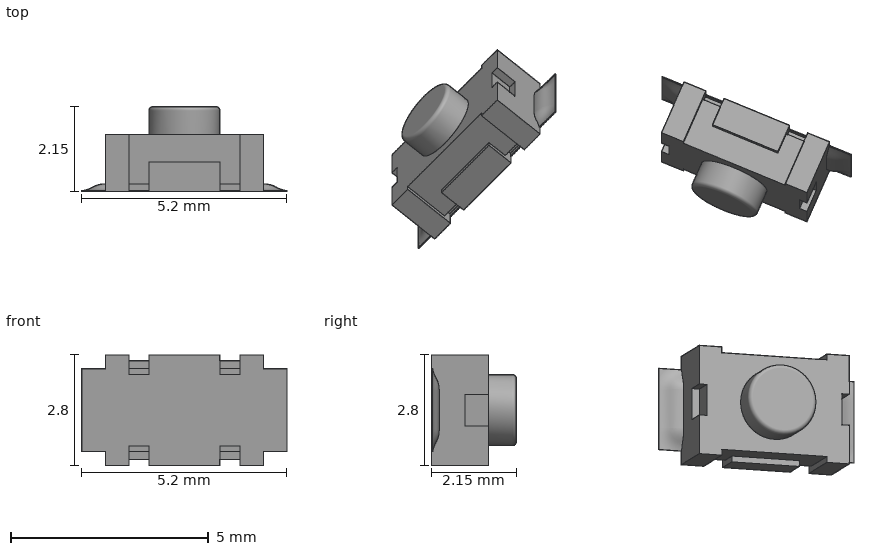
import cadquery as cq

body_length = 4.0
body_width = 2.8
body_height = 1.45

side_recess = 0.15
leg_length = 0.6
tab_length = 1.8
tab_height = 0.75

undercut_height = 0.2
undercut_depth = 0.5

end_pocket_width = 0.8
end_pocket_height = 0.6
end_pocket_depth = 0.2

button_diameter = 1.8
overall_height = 2.15
button_fillet = 0.1

plate_length = 5.2
plate_width = 2.1
plate_thickness = 0.025

swell_height = 0.2
swell_ridge_length = 1.0
swell_radius = 0.65


def block(length, width, height, x=0.0, y=0.0, z=0.0):
    """Box centred on x and z that rises in Y from y."""
    return cq.Workplane("XY").box(length, height, width).translate((x, y + height / 2, z))


def make_housing():
    housing = block(body_length, body_width, body_height)

    gap_length = body_length / 2 - leg_length - tab_length / 2
    gap_x = (tab_length + gap_length) / 2
    between_legs = body_length - 2 * leg_length
    for side in (-1, 1):
        recess_z = side * (body_width - side_recess) / 2
        housing = housing.cut(
            block(between_legs, side_recess, body_height - tab_height, y=tab_height, z=recess_z)
        )
        undercut_z = side * (body_width - undercut_depth) / 2
        for end in (-1, 1):
            housing = housing.cut(
                block(gap_length, side_recess, body_height, x=end * gap_x, z=recess_z)
            )
            housing = housing.cut(
                block(gap_length, undercut_depth, undercut_height, x=end * gap_x, z=undercut_z)
            )

    for end in (-1, 1):
        housing = housing.cut(
            block(
                end_pocket_depth,
                end_pocket_width,
                end_pocket_height,
                x=end * (body_length - end_pocket_depth) / 2,
                y=body_height - end_pocket_height,
            )
        )
    return housing


def make_button():
    return (
        cq.Workplane("XZ", origin=(0, body_height, 0))
        .circle(button_diameter / 2)
        .extrude(body_height - overall_height)
        .faces(">Y")
        .edges()
        .fillet(button_fillet)
    )


def swell_half_section(direction):
    """Half section of the swelling: two equal tangent arcs from the crest down to the plate."""
    half_run = swell_radius / 2
    half_drop = (swell_height - plate_thickness) / 2
    arc_radius = (half_run**2 + half_drop**2) / (2 * half_drop)
    middle = (direction * half_run, plate_thickness + half_drop)
    foot = (direction * swell_radius, plate_thickness)
    return (
        cq.Workplane("XY")
        .moveTo(0, swell_height)
        .radiusArc(middle, direction * arc_radius)
        .radiusArc(foot, -direction * arc_radius)
        .lineTo(foot[0], 0)
        .lineTo(0, 0)
        .close()
    )


def make_swelling(end):
    """Swelling at one end, trimmed to lie on the plate between the leg and the plate end."""
    swelling = swell_half_section(end).extrude(swell_ridge_length / 2, both=True)
    rounded_end = swell_half_section(end).revolve(360, (0, 0, 0), (0, 1, 0))
    for side in (-1, 1):
        swelling = swelling.union(rounded_end.translate((0, 0, side * swell_ridge_length / 2)))
    swelling = swelling.translate((end * body_length / 2, 0, 0))

    inner_x = body_length / 2 - leg_length
    outer_x = plate_length / 2
    plate_area = block(
        outer_x - inner_x, plate_width, swell_height, x=end * (inner_x + outer_x) / 2
    )
    return swelling.intersect(plate_area)


result = make_housing().union(make_button()).union(block(plate_length, plate_width, plate_thickness))
for plate_end in (-1, 1):
    result = result.union(make_swelling(plate_end))